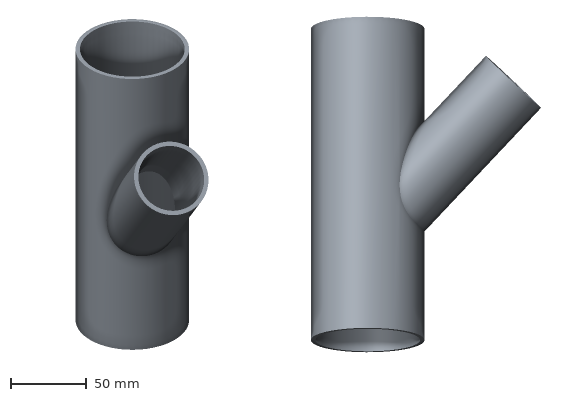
import cadquery as cq

main_diameter = 75.0
main_length = 210.0
wall = 3.0

branch_diameter = 50.0
branch_length = 140.0
branch_angle = 45.0
branch_start_height = 70.0


def main_cylinder(diameter):
    """Solid cylinder on the main axis."""
    return cq.Workplane("XY").circle(diameter / 2).extrude(main_length)


def branch_cylinder(diameter):
    """Solid cylinder on the branch axis, starting at the main axis."""
    return (
        cq.Workplane("XY")
        .circle(diameter / 2)
        .extrude(branch_length)
        .rotate((0, 0, 0), (0, 1, 0), branch_angle)
        .translate((0, 0, branch_start_height))
    )


outer_body = main_cylinder(main_diameter).union(branch_cylinder(branch_diameter))
main_bore = main_cylinder(main_diameter - 2 * wall)
branch_bore = branch_cylinder(branch_diameter - 2 * wall)

result = outer_body.cut(main_bore).cut(branch_bore)